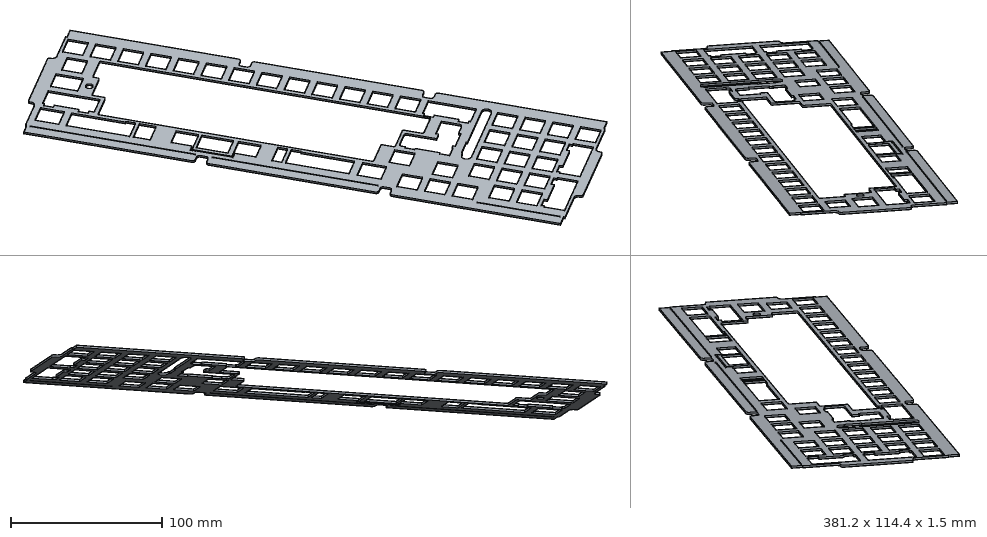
import cadquery as cq

THICKNESS = 1.5
LENGTH = 381.18
WIDTH = 114.36
BODY_LENGTH = 370.9
STRIP_LENGTH = 369.0
STRIP_Y = 49.6
SIDE_TAB_WIDTH = 49.2
TAB_ROOT_RADIUS = 3.0
TAB_TIP_RADIUS = 1.5

NOTCH_X = 63.1
NOTCH_WIDTH = 7.8
NOTCH_DEPTH = 6.9
NOTCH_RADIUS = 2.0

PITCH = 19.05
SWITCH = 14.0
COLUMN_SPAN = 18.5
MIDDLE_ROW_Y = 2.34
ARROW_DROP = PITCH / 4

NUMBER_KEYS = 13
PAD_COLUMNS = (15.5, 16.5, 17.5)
ARROW_COLUMNS = (13.25, 14.25, 15.25)

STABILIZER_OFFSET = 11.94
STABILIZER_WIDTH = 6.75
STABILIZER_REACH = SWITCH / 2 + 2.3

NUMBER_ROW, TAB_ROW, CAPS_ROW, SHIFT_ROW, SPACE_ROW = range(5)

OPENING_MARGIN = 0.55
OPENING_RADIUS = 1.0

SPACE_CENTER_X = -62.2
SPACE_OUTER_REACH = 97.2
SPACE_INNER_REACH = 53.5
SPACE_SHORT_REACH = 51.0
SPACE_SHORT_WIDTH_LEFT = 11.6
SPACE_SHORT_WIDTH_RIGHT = 6.8
SPACE_STABILIZER_RISE = 0.9

SPACE_SWITCH_LEFT = -70.0
SPACE_SWITCH_RIGHT = -48.2
SPLIT_CENTER_X = -58.4
SPLIT_INNER_REACH = 13.7
SPLIT_OUTER_REACH = 29.2
SPLIT_POCKET_HEIGHT = 13.0
WIRE_SLIT_WIDTH = 1.0
WIRE_SLIT_BOTTOM = -46.4

ENTER_LEFT = 58.8
ENTER_RIGHT = 93.2
ENTER_TALL_LEFT = 80.8
ENTER_TALL_RIGHT = 94.8
ENTER_WIDE_UNIT = 13.375
ENTER_POCKET_DROP = 1.2
ENTER_RADIUS = 2.0

SLIT_Y = -50.0
SLIT_WIDTH = 0.6
SLIT_SPANS = [(-182.2, -68.6), (-57.0, 57.0), (125.2, 182.2)]

ROUND_HOLE_DIAMETER = 5.0
ROUND_HOLE_X = -155.9

LONG_SLOT_X = 104.9
LONG_SLOT_WIDTH = 6.8
LONG_SLOT_TOP = 49.2
LONG_SLOT_BOTTOM = -6.7
BULGE_REACH = 0.8
BULGE_TOP = 11.0
BULGE_BOTTOM = -0.8


def column_x(unit):
    """X of a key centre, counted in key units from the first key."""
    return (unit - COLUMN_SPAN / 2) * PITCH


def row_y(row):
    """Y of a key row's centre; fractions lie between rows."""
    return MIDDLE_ROW_Y + (CAPS_ROW - row) * PITCH


def box(x_min, x_max, y_min, y_max):
    """Full-thickness block between the given limits."""
    block = cq.Workplane("XY").box(x_max - x_min, y_max - y_min, THICKNESS, centered=False)
    return block.translate((x_min, y_min, 0))


def fillet_corner(body, x, y, radius):
    """Round the one vertical edge that stands at the given place."""
    edge = body.edges(cq.selectors.NearestToPointSelector((x, y, THICKNESS / 2)))
    return edge.fillet(radius)


def switch_cutout(first_unit, y, last_unit=None):
    """Switch opening, stretched to reach a second switch position if one is given."""
    if last_unit is None:
        last_unit = first_unit
    half = SWITCH / 2
    return box(column_x(first_unit) - half, column_x(last_unit) + half, y - half, y + half)


def stabilizer_pockets(unit, y, reach=STABILIZER_REACH):
    """Two pockets below a wide key's centre line."""
    half = STABILIZER_WIDTH / 2
    left_x = column_x(unit) - STABILIZER_OFFSET
    right_x = column_x(unit) + STABILIZER_OFFSET
    left_pocket = box(left_x - half, left_x + half, y - reach, y)
    return left_pocket.union(box(right_x - half, right_x + half, y - reach, y))


def tall_key_cutout(unit, y):
    """Two-unit-tall number pad key with its pockets on the left."""
    x = column_x(unit)
    half_width = SWITCH / 2
    half_height = (PITCH + SWITCH) / 2
    pocket_half = STABILIZER_WIDTH / 2
    cutout = box(x - half_width, x + half_width, y - half_height, y + half_height)
    for pocket_y in (y - STABILIZER_OFFSET, y + STABILIZER_OFFSET):
        pocket = box(x - STABILIZER_REACH, x, pocket_y - pocket_half, pocket_y + pocket_half)
        cutout = cutout.union(pocket)
    return cutout


def make_plate():
    """Blank outline: body, edge strips, side tabs and notches."""
    plate = box(-STRIP_LENGTH / 2, STRIP_LENGTH / 2, -WIDTH / 2, WIDTH / 2)
    plate = plate.union(box(-BODY_LENGTH / 2, BODY_LENGTH / 2, -STRIP_Y, STRIP_Y))
    plate = plate.union(box(-LENGTH / 2, LENGTH / 2, -SIDE_TAB_WIDTH / 2, SIDE_TAB_WIDTH / 2))
    for x in (-NOTCH_X, NOTCH_X):
        for y in (-WIDTH / 2, WIDTH / 2):
            notch = box(x - NOTCH_WIDTH / 2, x + NOTCH_WIDTH / 2, y - NOTCH_DEPTH, y + NOTCH_DEPTH)
            plate = plate.cut(notch)
    for side_x in (-1, 1):
        for side_y in (-1, 1):
            tab_y = side_y * SIDE_TAB_WIDTH / 2
            plate = fillet_corner(plate, side_x * BODY_LENGTH / 2, tab_y, TAB_ROOT_RADIUS)
            plate = fillet_corner(plate, side_x * LENGTH / 2, tab_y, TAB_TIP_RADIUS)
            for wall_x in (NOTCH_X - NOTCH_WIDTH / 2, NOTCH_X + NOTCH_WIDTH / 2):
                for corner_y in (WIDTH / 2, WIDTH / 2 - NOTCH_DEPTH):
                    plate = fillet_corner(plate, side_x * wall_x, side_y * corner_y, NOTCH_RADIUS)
    return plate


def main_opening():
    """Stepped opening over the letter keys, set back from the key cells of each row."""
    half = PITCH / 2 - OPENING_MARGIN
    opening = None
    for row, left, right in (
        (TAB_ROW, 1.0, 13.0),
        (CAPS_ROW, 1.25, 12.25),
        (SHIFT_ROW, 1.75, 11.75),
    ):
        y = row_y(row)
        x_min = column_x(left) + OPENING_MARGIN
        x_max = column_x(right) - OPENING_MARGIN
        cells = box(x_min, x_max, y - half, y + PITCH / 2 + OPENING_MARGIN)
        opening = cells if opening is None else opening.union(cells)
    above = row_y(TAB_ROW) + half
    opening = opening.cut(box(-LENGTH, LENGTH, above, WIDTH))
    return opening.edges("|Z").fillet(OPENING_RADIUS)


def single_cutouts():
    """Plain switch openings, some stretched to suit two key positions."""
    cutouts = []
    for unit in range(NUMBER_KEYS):
        cutouts.append(switch_cutout(unit, row_y(NUMBER_ROW)))
    for unit in PAD_COLUMNS:
        for row in (NUMBER_ROW, TAB_ROW, CAPS_ROW, SHIFT_ROW):
            cutouts.append(switch_cutout(unit, row_y(row)))
    cutouts.append(switch_cutout(COLUMN_SPAN, row_y(NUMBER_ROW)))
    for unit in PAD_COLUMNS[1:]:
        cutouts.append(switch_cutout(unit, row_y(SPACE_ROW)))
    cutouts.append(switch_cutout(0.25, row_y(TAB_ROW)))
    cutouts.append(switch_cutout(0.125, row_y(CAPS_ROW), 0.375))
    cutouts.append(switch_cutout(0.125, row_y(SPACE_ROW), 0.25))
    cutouts.append(switch_cutout(11.75, row_y(SPACE_ROW), 11.875))
    cutouts.append(switch_cutout(12.625, row_y(SHIFT_ROW)))
    cutouts.append(switch_cutout(ARROW_COLUMNS[1], row_y(SHIFT_ROW) - ARROW_DROP))
    for unit in ARROW_COLUMNS:
        cutouts.append(switch_cutout(unit, row_y(SPACE_ROW) - ARROW_DROP))
    return cutouts


def wide_cutouts():
    """Two-unit keys and the left shift key, with their stabilizer pockets."""
    return [
        switch_cutout(NUMBER_KEYS, row_y(NUMBER_ROW), NUMBER_KEYS + 1),
        stabilizer_pockets(NUMBER_KEYS + 0.5, row_y(NUMBER_ROW)),
        switch_cutout(0.125, row_y(SHIFT_ROW), 1.25),
        stabilizer_pockets(0.625, row_y(SHIFT_ROW)),
        tall_key_cutout(COLUMN_SPAN, row_y((TAB_ROW + CAPS_ROW) / 2)),
        tall_key_cutout(COLUMN_SPAN, row_y((SHIFT_ROW + SPACE_ROW) / 2)),
    ]


def enter_cutout():
    """Backslash and enter positions merged into one opening."""
    half = SWITCH / 2
    tab_y = row_y(TAB_ROW)
    between_y = row_y((TAB_ROW + CAPS_ROW) / 2)
    caps_y = row_y(CAPS_ROW)
    backslash_left = column_x(13.75) - half
    cutout = box(backslash_left, ENTER_RIGHT, tab_y - half, tab_y + half)
    cutout = cutout.union(box(ENTER_TALL_LEFT, ENTER_TALL_RIGHT, between_y - half, between_y + half))
    cutout = cutout.union(box(ENTER_LEFT, ENTER_RIGHT, caps_y - half, caps_y + half))
    cutout = fillet_corner(cutout, ENTER_RIGHT, tab_y + half, ENTER_RADIUS)
    for corner_y in (caps_y - half, caps_y + half):
        cutout = fillet_corner(cutout, ENTER_LEFT, corner_y, ENTER_RADIUS)
    return cutout.union(stabilizer_pockets(ENTER_WIDE_UNIT, caps_y, half + ENTER_POCKET_DROP))


def space_pockets():
    """Long and short stabilizer cutouts on both sides of the space bar."""
    y = row_y(SPACE_ROW)
    bottom = y - SWITCH / 2
    top = y + SWITCH / 2
    raised_top = top + SPACE_STABILIZER_RISE
    left_inner = SPACE_CENTER_X - SPACE_INNER_REACH
    right_inner = SPACE_CENTER_X + SPACE_INNER_REACH
    left_short = SPACE_CENTER_X - SPACE_SHORT_REACH
    right_short = SPACE_CENTER_X + SPACE_SHORT_REACH
    return [
        box(SPACE_CENTER_X - SPACE_OUTER_REACH, left_inner, bottom, top),
        box(left_inner - STABILIZER_WIDTH, left_inner, y, raised_top),
        box(left_short, left_short + SPACE_SHORT_WIDTH_LEFT, bottom, raised_top),
        box(right_short - SPACE_SHORT_WIDTH_RIGHT, right_short, bottom, raised_top),
        box(right_inner, right_inner + STABILIZER_WIDTH, y, raised_top),
        box(right_inner, SPACE_CENTER_X + SPACE_OUTER_REACH, bottom, top),
    ]


def space_switch_cutouts():
    """Middle switch opening, its side pockets and the slit that joins them."""
    y = row_y(SPACE_ROW)
    bottom = y - SWITCH / 2
    top = y + SWITCH / 2
    pocket_bottom = top - SPLIT_POCKET_HEIGHT
    left = SPLIT_CENTER_X - SPLIT_INNER_REACH
    right = SPLIT_CENTER_X + SPLIT_INNER_REACH
    slit_left = left - WIRE_SLIT_WIDTH
    slit_right = right + WIRE_SLIT_WIDTH
    return [
        box(SPACE_SWITCH_LEFT, SPACE_SWITCH_RIGHT, bottom, top),
        box(SPLIT_CENTER_X - SPLIT_OUTER_REACH, left, pocket_bottom, top),
        box(right, SPLIT_CENTER_X + SPLIT_OUTER_REACH, pocket_bottom, top),
        box(slit_left, left, WIRE_SLIT_BOTTOM, y),
        box(right, slit_right, WIRE_SLIT_BOTTOM, y),
        box(slit_left, slit_right, WIRE_SLIT_BOTTOM, WIRE_SLIT_BOTTOM + WIRE_SLIT_WIDTH),
    ]


def relief_slits():
    """Narrow through slits just inside the bottom strip."""
    slits = []
    for start, end in SLIT_SPANS:
        slits.append(box(start, end, SLIT_Y - SLIT_WIDTH / 2, SLIT_Y + SLIT_WIDTH / 2))
    return slits


def round_hole():
    """Through hole level with the caps lock key."""
    hole = cq.Workplane("XY").circle(ROUND_HOLE_DIAMETER / 2).extrude(THICKNESS)
    return hole.translate((ROUND_HOLE_X, row_y(CAPS_ROW), 0))


def long_slot():
    """Round-ended slot with a shallow bulge on its left side."""
    length = LONG_SLOT_TOP - LONG_SLOT_BOTTOM
    slot = cq.Workplane("XY").center(LONG_SLOT_X, (LONG_SLOT_TOP + LONG_SLOT_BOTTOM) / 2)
    slot = slot.slot2D(length, LONG_SLOT_WIDTH, 90).extrude(THICKNESS)
    left = LONG_SLOT_X - LONG_SLOT_WIDTH / 2
    return slot.union(box(left - BULGE_REACH, LONG_SLOT_X, BULGE_BOTTOM, BULGE_TOP))


cutouts = [main_opening(), enter_cutout(), long_slot(), round_hole()]
cutouts += single_cutouts() + wide_cutouts()
cutouts += space_pockets() + space_switch_cutouts() + relief_slits()

result = make_plate()
for cutout in cutouts:
    result = result.cut(cutout)